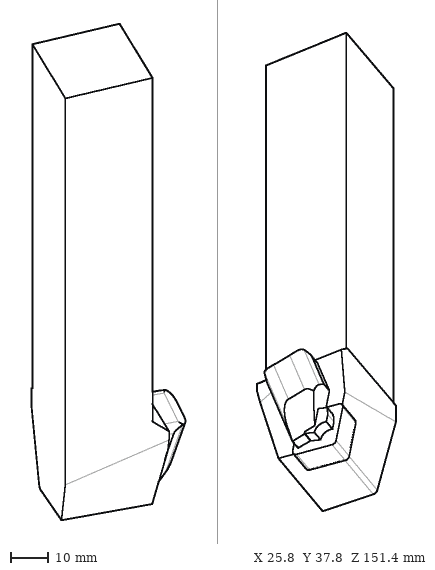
import cadquery as cq
import math

overall_height = 151.4
shank_width = 25.0

side_ledge = 0.8
head_top = 33.9
head_depth = 29.7
shoulder_height = head_depth - shank_width
head_extra = 7.5

nose = (3.2, 25.3, -0.08)
side_edge_lean = 15.0
rake_slope_angle = 6.0

insert_edge = 13.0
insert_thickness = 8.0
insert_corner_angle = 100.0
insert_corner_radius = 1.2
insert_overhang = 0.3

taper_foot = 16.8
taper_angle = 26.0
flank_corner_radius = 1.2
flank_reach = 227.0

clamp_turn = 30.0
clamp_left = -4.2
clamp_width = 14.0
clamp_right = clamp_left + clamp_width
clamp_wall = 3.5
clamp_shoulder = 5.8
clamp_draft = 20.0
clamp_height = 8.3
clamp_front = 5.6
clamp_back = 30.3
clamp_left_corner = 2.0
clamp_right_corner = 2.1
clamp_cut = 5.1

curve_top = 9.7
nose_height = 3.5
nose_curve_middle = (12.7, 7.4)
nose_curve_end = 19.7
back_wall = 5.0
back_curve_middle = (28.9, 7.9)
back_curve_end = 25.7

breaker_inset = 1.8
breaker_length = 7.5
breaker_width = 6.0
breaker_height = 3.8
breaker_corner_radius = 3.0
breaker_bevel_length = 2.3
breaker_bevel_width = 0.6


def sloped_direction(x, z):
    """Direction in the rake face, from its X and Z parts."""
    return cq.Vector(x, math.tan(math.radians(rake_slope_angle)), z).normalized()


lean = math.radians(side_edge_lean)
along_edge = sloped_direction(-math.sin(lean), math.cos(lean))
across_edge = sloped_direction(math.cos(lean), math.sin(lean))
rake_plane = cq.Plane(nose, along_edge, along_edge.cross(across_edge))
clamp_plane = rake_plane.rotated((0, 0, clamp_turn))

corner = math.radians(insert_corner_angle)
end_edge_x = math.cos(corner)
end_edge_y = math.sin(corner)


def make_blank():
    shank = cq.Workplane("XY").box(shank_width, shank_width, overall_height, centered=False)
    head_bottom = -head_extra
    head_profile = [
        (0, head_bottom),
        (head_depth, head_bottom),
        (head_depth, head_top - shoulder_height),
        (shank_width, head_top),
        (0, head_top),
    ]
    head = (
        cq.Workplane("YZ", origin=(-side_ledge, 0, 0))
        .polyline(head_profile).close()
        .extrude(shank_width + side_ledge)
        .faces("<X").edges(">Z").chamfer(side_ledge)
    )
    return shank.union(head)


def end_flank(across):
    """Local x of the head's end flank at a distance from the side cutting edge."""
    return (insert_overhang + across * end_edge_x) / end_edge_y


def make_flank_prism():
    """Prism square to the rake face that trims the head's side, end and taper."""
    taper = math.radians(taper_angle)
    flank_corner = (end_flank(insert_overhang), insert_overhang)
    taper_start = (end_flank(taper_foot), taper_foot)
    outline = [
        flank_corner,
        (flank_reach, insert_overhang),
        (taper_start[0] + flank_reach * math.cos(taper), taper_start[1] + flank_reach * math.sin(taper)),
        taper_start,
    ]
    prism = cq.Workplane(rake_plane).polyline(outline).close().extrude(-flank_reach)
    edge_middle = rake_plane.toWorldCoords((*flank_corner, -flank_reach / 2))
    corner_edge = cq.selectors.NearestToPointSelector(edge_middle.toTuple())
    return prism.edges(corner_edge).fillet(flank_corner_radius)


def make_insert():
    far_end = (insert_edge * end_edge_x, insert_edge * end_edge_y)
    outline = [
        (0, 0),
        (insert_edge, 0),
        (insert_edge + far_end[0], far_end[1]),
        far_end,
    ]
    plate = cq.Workplane(rake_plane).polyline(outline).close().extrude(-insert_thickness)
    upright_edges = cq.selectors.ParallelDirSelector(rake_plane.zDir)
    return plate.edges(upright_edges).fillet(insert_corner_radius)


def make_clamp_section():
    """Bar with drafted, rounded sides, running along the clamp."""
    draft = math.radians(clamp_draft)
    draft_inset = (clamp_shoulder - clamp_wall) * math.tan(draft)
    round_radius = (clamp_height - clamp_shoulder) / (1 - math.sin(draft))
    top_inset = draft_inset + round_radius * math.cos(draft)
    front = clamp_plane.toWorldCoords((clamp_front, 0, 0))
    return (
        cq.Workplane(cq.Plane(front, clamp_plane.yDir, clamp_plane.xDir))
        .moveTo(clamp_left, 0)
        .lineTo(clamp_left, clamp_wall)
        .lineTo(clamp_left + draft_inset, clamp_shoulder)
        .radiusArc((clamp_left + top_inset, clamp_height), round_radius)
        .lineTo(clamp_right - top_inset, clamp_height)
        .radiusArc((clamp_right - draft_inset, clamp_shoulder), round_radius)
        .lineTo(clamp_right, clamp_wall)
        .lineTo(clamp_right, 0)
        .close().extrude(clamp_back - clamp_front)
    )


def make_clamp_profile():
    """Side profile with the curved nose and back, running across the clamp."""
    right_side = clamp_plane.toWorldCoords((0, clamp_right, 0))
    return (
        cq.Workplane(cq.Plane(right_side, clamp_plane.xDir, -clamp_plane.yDir))
        .moveTo(clamp_front, 0)
        .lineTo(clamp_front, nose_height)
        .threePointArc(nose_curve_middle, (nose_curve_end, curve_top))
        .lineTo(back_curve_end, curve_top)
        .threePointArc(back_curve_middle, (clamp_back, back_wall))
        .lineTo(clamp_back, 0)
        .close().extrude(clamp_width)
    )


def make_clamp_plan():
    """Outline on the rake face with the two rounded back corners."""
    return (
        cq.Workplane(clamp_plane)
        .moveTo(clamp_front, clamp_left)
        .lineTo(clamp_back - clamp_left_corner, clamp_left)
        .radiusArc((clamp_back, clamp_left + clamp_left_corner), -clamp_left_corner)
        .lineTo(clamp_back, clamp_right - clamp_right_corner)
        .radiusArc((clamp_back - clamp_right_corner, clamp_right), -clamp_right_corner)
        .lineTo(clamp_front, clamp_right)
        .close().extrude(curve_top)
    )


def make_clamp():
    clamp = make_clamp_section().intersect(make_clamp_profile()).intersect(make_clamp_plan())
    cut_side = cq.Workplane(rake_plane).rect(flank_reach, 2 * clamp_cut).extrude(curve_top)
    return clamp.cut(cut_side)


def make_breaker():
    end = breaker_inset + breaker_length
    back = breaker_inset + breaker_width
    rounding_end = breaker_inset + breaker_corner_radius
    return (
        cq.Workplane(rake_plane)
        .moveTo(rounding_end, breaker_inset)
        .lineTo(end - breaker_bevel_length, breaker_inset)
        .lineTo(end, breaker_inset + breaker_bevel_width)
        .lineTo(end, back)
        .lineTo(breaker_inset, back)
        .lineTo(breaker_inset, rounding_end)
        .radiusArc((rounding_end, breaker_inset), breaker_corner_radius)
        .close().extrude(breaker_height)
    )


def make_holder(insert):
    """Shank and head with the clamp and chip breaker, and a pocket that fits the insert."""
    body = make_blank().intersect(make_flank_prism())
    return body.union(make_clamp()).union(make_breaker()).cut(insert)


insert = make_insert()
holder = make_holder(insert)

result = cq.Compound.makeCompound([*holder.solids().vals(), *insert.solids().vals()])